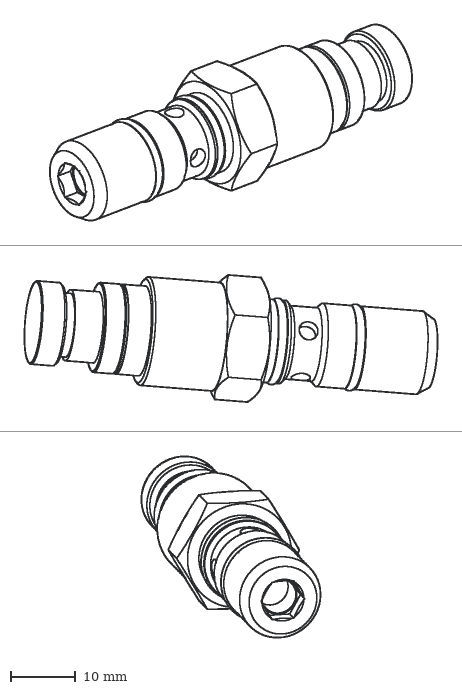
import cadquery as cq
import math

total_length = 62.9

knob_radius = 6.5
knob_end = 4.0
knob_end_chamfer = 0.2
knob_back_chamfer = 0.4
neck_radius = 5.0
neck_end = 5.55
stem_radius = 5.55
stem_end = 9.95

sleeve_radius = 7.0
sleeve_chamfer = 0.2
sleeve_groove_start = 13.1
sleeve_groove_end = 13.65
sleeve_groove_depth = 0.25

body_start = 17.25
body_radius = 8.4
body_chamfer = 0.4
hex_start = 29.0
hex_end = 35.9
hex_across_flats = 17.0
hex_chamfer_radius = 8.3
hex_chamfer_angle = 30.0

shank_radius = 6.5
waist_radius = 5.7
waist_slope_start = 39.5
waist_start = 40.2
waist_end = 44.55
waist_slope_end = 45.35
ring_width = 1.3
ring_height = 0.25
ring_centers = [38.25, 50.6]
ring_groove_width = 1.5
ring_groove_depth = 0.2
tip_chamfer_length = 1.75
tip_radius = 5.4

port_diameter = 2.95
port_station = 42.4
port_count = 4
port_floor_radius = 3.8

socket_across_flats = 6.0
socket_depth = 2.5
countersink_radius = 3.35
bore_radius = 2.75
bore_mouth_radius = 2.9
bore_depth = 7.55


def axial(station):
    """Y coordinate of a station, with the part centred on the origin."""
    return total_length / 2 - station


def ring_of(inner_radius, outer_radius, start, end):
    """Tube, or a rod when the inner radius is zero, between two stations."""
    plane = cq.Workplane("XZ", origin=(0, axial(start), 0)).circle(outer_radius)
    if inner_radius > 0:
        plane = plane.circle(inner_radius)
    return plane.extrude(end - start)


def turned_profile(points):
    """Solid turned about the part axis from a closed outline of (radius, y) points."""
    return cq.Workplane("XY").polyline(points).close().revolve(360, (0, 0, 0), (0, 1, 0))


def cone(start, start_radius, end, end_radius):
    """Truncated cone between two stations."""
    profile = [
        (0, axial(start)),
        (start_radius, axial(start)),
        (end_radius, axial(end)),
        (0, axial(end)),
    ]
    return turned_profile(profile)


def hex_prism(across_flats, start, end):
    """Hexagonal prism with two flats facing up and down."""
    across_corners = across_flats / math.cos(math.pi / 6)
    return cq.Workplane("XZ", origin=(0, axial(start), 0)).polygon(6, across_corners).extrude(end - start)


def sleeve_groove():
    """Cutter for the sleeve groove: one sloping wall, a flat floor and one square wall."""
    floor_radius = sleeve_radius - sleeve_groove_depth
    slope_end = sleeve_groove_start + sleeve_groove_depth
    profile = [
        (sleeve_radius, axial(sleeve_groove_start)),
        (floor_radius, axial(slope_end)),
        (floor_radius, axial(sleeve_groove_end)),
        (sleeve_radius, axial(sleeve_groove_end)),
    ]
    return turned_profile(profile)


def operating_end():
    """Knob, neck, stem, grooved sleeve and round body."""
    knob = ring_of(0, knob_radius, 0, knob_end)
    knob = knob.faces(">Y").chamfer(knob_end_chamfer).faces("<Y").chamfer(knob_back_chamfer)
    neck = ring_of(0, neck_radius, knob_end, neck_end)
    stem = ring_of(0, stem_radius, neck_end, stem_end)
    sleeve = ring_of(0, sleeve_radius, stem_end, body_start).faces(">Y").chamfer(sleeve_chamfer)
    sleeve = sleeve.cut(sleeve_groove())
    body = ring_of(0, body_radius, body_start, hex_start).faces(">Y").chamfer(body_chamfer)
    return knob.union(neck).union(stem).union(sleeve).union(body)


def hexagon():
    """Wrench hexagon with its corners turned down on both ends."""
    corner_radius = hex_across_flats / math.sqrt(3)
    bevel_length = (corner_radius - hex_chamfer_radius) * math.tan(math.radians(hex_chamfer_angle))
    turned = cone(hex_start, hex_chamfer_radius, hex_start + bevel_length, corner_radius)
    turned = turned.union(ring_of(0, corner_radius, hex_start + bevel_length, hex_end - bevel_length))
    turned = turned.union(cone(hex_end - bevel_length, corner_radius, hex_end, hex_chamfer_radius))
    return hex_prism(hex_across_flats, hex_start, hex_end).intersect(turned)


def cartridge():
    """Shank with its tapered tip and the waist between two slopes."""
    tip_start = total_length - tip_chamfer_length
    profile = [
        (0, axial(hex_end)),
        (shank_radius, axial(hex_end)),
        (shank_radius, axial(waist_slope_start)),
        (waist_radius, axial(waist_start)),
        (waist_radius, axial(waist_end)),
        (shank_radius, axial(waist_slope_end)),
        (shank_radius, axial(tip_start)),
        (tip_radius, axial(total_length)),
        (0, axial(total_length)),
    ]
    return turned_profile(profile)


def ring_groove(center):
    """Shallow groove around the shank that seats a sealing ring."""
    floor_radius = shank_radius - ring_groove_depth
    half_width = ring_groove_width / 2
    return ring_of(floor_radius, shank_radius, center - half_width, center + half_width)


def sealing_ring(center):
    """Rounded ring that rises from the groove floor to just above the shank."""
    seat_radius = shank_radius - ring_groove_depth
    crest_radius = shank_radius + ring_height
    start = axial(center - ring_width / 2)
    end = axial(center + ring_width / 2)
    return (
        cq.Workplane("XY")
        .moveTo(0, start)
        .lineTo(seat_radius, start)
        .threePointArc((crest_radius, axial(center)), (seat_radius, end))
        .lineTo(0, end)
        .close()
        .revolve(360, (0, 0, 0), (0, 1, 0))
    )


def port(angle):
    """Radial hole through the waist wall that stops at a round inner core."""
    port_plane = cq.Workplane("XY", origin=(0, axial(port_station), 0))
    hole = port_plane.circle(port_diameter / 2).extrude(shank_radius)
    core = ring_of(0, port_floor_radius, waist_start, waist_end)
    return hole.cut(core).rotate((0, 0, 0), (0, 1, 0), angle)


def tip_socket():
    """Countersunk hexagon socket that ends in a round blind bore."""
    inscribed_radius = socket_across_flats / 2
    countersink_depth = countersink_radius - inscribed_radius
    mouth = cone(total_length - countersink_depth, inscribed_radius, total_length, countersink_radius)
    socket_floor = total_length - socket_depth
    hexagon_hole = hex_prism(socket_across_flats, socket_floor, total_length)
    bore_chamfer = bore_mouth_radius - bore_radius
    bore_mouth = cone(socket_floor - bore_chamfer, bore_radius, socket_floor, bore_mouth_radius)
    bore = ring_of(0, bore_radius, total_length - bore_depth, socket_floor)
    return mouth.union(hexagon_hole).union(bore_mouth).union(bore)


result = operating_end().union(hexagon()).union(cartridge())

for center in ring_centers:
    result = result.cut(ring_groove(center)).union(sealing_ring(center))

for index in range(port_count):
    result = result.cut(port(index * 360 / port_count))

result = result.cut(tip_socket())